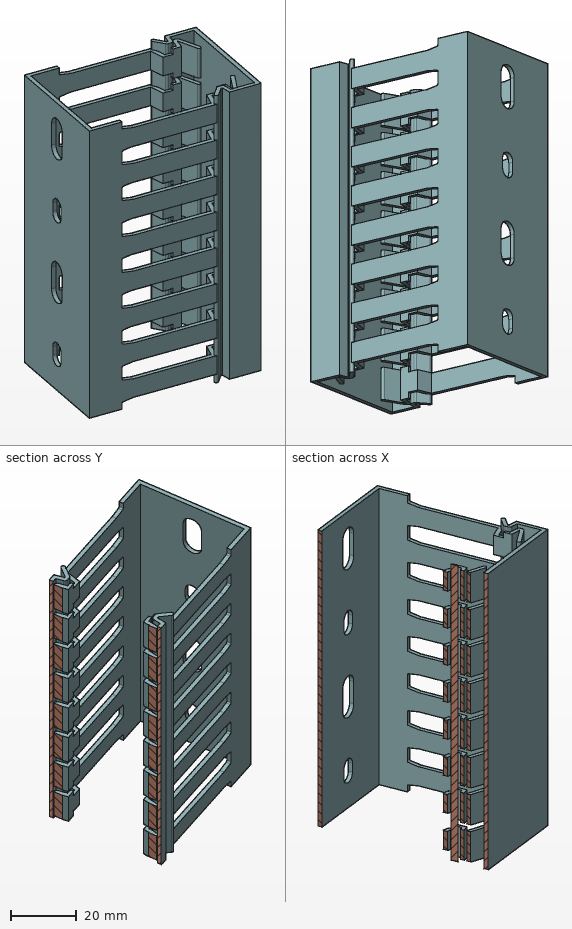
import cadquery as cq
import math

width = 40
height = 60
length = 100
wall = 1.5

half_width = width / 2
half_height = height / 2
inner_x = half_width - wall

lid_thickness = 1.6
skirt_thickness = 1.4
mid_skirt_x = half_width - skirt_thickness / 2
skirt_bend_y = 19.5
catch_x = 16
catch_upper_y = 18.9
catch_lower_y = 17.5
tip_y = 14.7
catch_fold_radius = 1

wall_top_y = 14.5
shelf_root_y = 13.3
upright_inner_x = 13.4
upright_outer_x = 14.5
shelf_bottom_y = 14.7
shelf_top_y = 16
return_bottom_y = 19.9
return_top_y = 21.2
return_end_x = 18
return_end_y = 20.6
fold_x = 18.4
fold_y = 21.5
notch_x = 17.1
notch_y = 21.8
lip_root_x = 17.4
lip_root_y = 23.1
lip_tip_x = 10.4
lip_tip_y = 25.5
lip_radius = 0.7

finger_count = 8
finger_pitch = length / finger_count
slot_width = 6
slot_bottom_width = 4.8
slot_bottom_y = -18.6
slot_taper_y = -14.6
slot_corner_radius = 0.5
head_slot_width = 2.2
head_start_y = 18.2

large_slot = (6.5, 14)
small_slot = (5, 8)
large_slot_z = 37.5
small_slot_z = 12.5
mounting_pitch = 50


def both_sides(solid):
    """Join a left-hand solid (negative X) with its mirror image."""
    return solid.union(solid.mirror("YZ"))


def plate(bottom_y, thickness):
    """Full-width plate that starts at bottom_y."""
    return (
        cq.Workplane("XY", origin=(0, bottom_y, 0))
        .box(width, thickness, length, centered=(True, False, False))
    )


def strip(centreline, thickness):
    """Strip of constant thickness with mitred bends along an open line, extruded over the length."""
    directions = []
    for (x0, y0), (x1, y1) in zip(centreline, centreline[1:]):
        run = math.hypot(x1 - x0, y1 - y0)
        directions.append(((x1 - x0) / run, (y1 - y0) / run))
    left = []
    right = []
    arriving = [directions[0]] + directions
    leaving = directions + [directions[-1]]
    for (x, y), (ax, ay), (bx, by) in zip(centreline, arriving, leaving):
        scale = thickness / 2 / (1 + ax * bx + ay * by)
        offset_x = -(ay + by) * scale
        offset_y = (ax + bx) * scale
        left.append((x + offset_x, y + offset_y))
        right.append((x - offset_x, y - offset_y))
    return cq.Workplane("XY").polyline(left + right[::-1]).close().extrude(length)


def make_cover():
    """Lid plate with two skirts, each folded into a catch."""
    centreline = [
        (-mid_skirt_x, half_height),
        (-mid_skirt_x, skirt_bend_y),
        (-catch_x, catch_upper_y),
        (-catch_x, catch_lower_y),
        (-mid_skirt_x, tip_y),
    ]
    fold_edges = cq.selectors.BoxSelector(
        (-catch_x, tip_y, 0),
        (-catch_x + skirt_thickness, skirt_bend_y, length),
    )
    skirt = (
        strip(centreline, skirt_thickness)
        .edges(fold_edges)
        .edges("|Z")
        .fillet(catch_fold_radius)
    )
    tip = (
        cq.Workplane("XY")
        .center(-mid_skirt_x, tip_y)
        .circle(skirt_thickness / 2)
        .extrude(length)
    )
    lid = plate(half_height - lid_thickness, lid_thickness)
    return lid.union(both_sides(skirt.union(tip)))


def wall_with_clip():
    """Left base wall with its clip, before the fingers are cut."""
    lip_angle = math.atan2(lip_tip_y - lip_radius - notch_y, notch_x - lip_tip_x)
    tip_run = lip_radius * math.cos(lip_angle)
    tip_rise = lip_radius * math.sin(lip_angle)
    return (
        cq.Workplane("XY")
        .moveTo(-half_width, -half_height)
        .lineTo(-inner_x, -half_height)
        .lineTo(-inner_x, shelf_root_y)
        .lineTo(-upright_inner_x, shelf_bottom_y)
        .lineTo(-upright_inner_x, return_top_y)
        .lineTo(-notch_x, notch_y)
        .lineTo(-lip_tip_x + tip_rise, lip_tip_y - tip_run)
        .threePointArc(
            (-lip_tip_x + tip_run, lip_tip_y + tip_rise),
            (-lip_tip_x - tip_rise, lip_tip_y + tip_run),
        )
        .lineTo(-lip_root_x, lip_root_y)
        .threePointArc((-fold_x, fold_y), (-return_end_x, return_end_y))
        .lineTo(-upright_outer_x, return_bottom_y)
        .lineTo(-upright_outer_x, shelf_top_y)
        .lineTo(-half_width, wall_top_y)
        .close()
        .extrude(length)
    )


def finger_gap(z):
    """Cutter through both walls: a tapered slot that narrows between the finger heads."""
    half_slot = slot_width / 2
    half_bottom = slot_bottom_width / 2
    slot = (
        cq.Workplane("YZ")
        .polyline([
            (slot_bottom_y, -half_bottom),
            (slot_taper_y, -half_slot),
            (head_start_y, -half_slot),
            (head_start_y, half_slot),
            (slot_taper_y, half_slot),
            (slot_bottom_y, half_bottom),
        ])
        .close()
        .extrude(half_width, both=True)
        .edges("|X and <Y")
        .fillet(slot_corner_radius)
    )
    head_slot = (
        cq.Workplane("XY", origin=(0, head_start_y, 0))
        .box(width, half_height - head_start_y, head_slot_width, centered=(True, False, True))
    )
    return slot.union(head_slot).translate((0, 0, z))


def mounting_slots(size, first_z):
    """Cutter for one row of rounded slots through the floor, long side along Z."""
    slot_wide, slot_long = size
    return (
        cq.Workplane("XZ", origin=(0, -half_height + wall, 0))
        .pushPoints([(0, first_z), (0, first_z + mounting_pitch)])
        .slot2D(slot_long, slot_wide, 90)
        .extrude(wall)
    )


def make_base(cover):
    """Slotted trough whose clips fit around the catches of the cover."""
    base = plate(-half_height, wall).union(both_sides(wall_with_clip()))
    base = base.cut(cover)
    for i in range(finger_count + 1):
        base = base.cut(finger_gap(i * finger_pitch))
    base = base.cut(mounting_slots(large_slot, large_slot_z))
    return base.cut(mounting_slots(small_slot, small_slot_z))


cover = make_cover()
base = make_base(cover)

result = cq.Compound.makeCompound([cover.solids().val(), base.solids().val()])